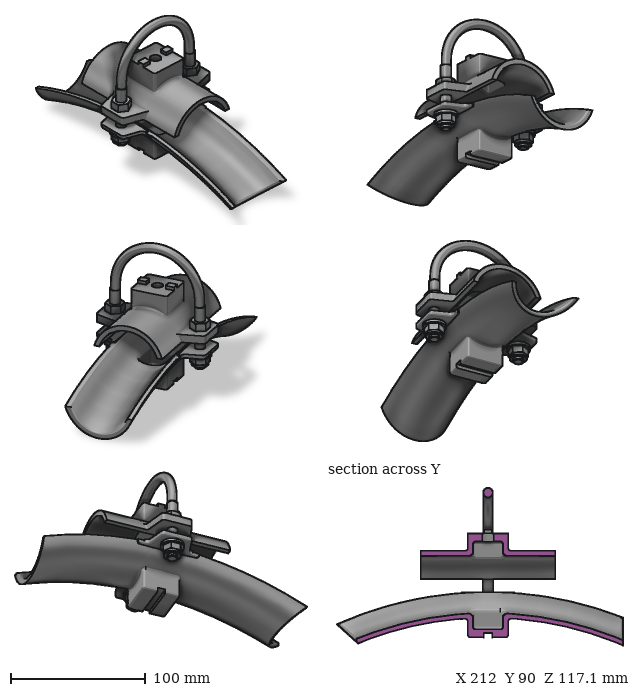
import cadquery as cq
import math


upper_wall = 4.0
upper_length = 99.9
upper_bore_radius = 25.0
upper_outer_radius = upper_bore_radius + upper_wall
upper_shell_top_z = 21.2
upper_axis_z = upper_shell_top_z - upper_outer_radius
upper_ear_thickness = 6.4
ear_joint_fillet = 1.7

ear_tip_y = 45.0
ear_tip_half_width = 11.9
ear_root_y = 21.2
ear_root_half_width = 18.7
ear_corner_radius = 3.0

block_width = 30.1
block_corner_radius = 2.1
block_joint_fillet = 2.1
upper_block_top_z = 34.0
block_hole_diameter = 8.5
pocket_width = 22.0
pocket_floor_thickness = 6.2
pocket_fillet = 2.1
pocket_floor_fillet = 2.0
pocket_mouth_fillet = 3.2
tab_width = 5.7
tab_length = 7.0
tab_height = 2.5
lower_block_bottom_z = -43.3
block_bottom_fillet = 2.0
slot_width = 6.2
slot_depth = 3.2

lower_top_z = -9.5
lower_bore_radius = 25.7
lower_wall = 3.8
lower_outer_radius = lower_bore_radius + lower_wall
lower_section_center_z = 0.6
bend_axis_z = -283.1
bend_sweep_angle = 90.0
left_end_x = -100.0
lower_span = 212.0
right_tip_x = left_end_x + lower_span
right_cut_angle = 42.0
rim_fillet = 2.0
lower_ear_root_fillet = 4.2
lower_ear_edge_fillet = 2.0
pad_half_length = 24.8
flat_half_length = 19.5
pad_half_width = 28.5

tolerance = 0.002

leg_y = 35.0
rod_diameter = 7.2
thread_diameter = 8.0
bend_center_z = 29.5
bolt_top_z = 67.7
thread_top_z = 24.2
bolt_bottom_z = -26.0
bolt_end_chamfer = 0.6

nut_across_flats = 13.0
nut_across_corners = nut_across_flats / math.cos(math.radians(30))
nut_height = 6.4
nut_corner_chamfer = 0.6
washer_radius = 8.7
washer_thickness = 2.3
lock_nut_hex_height = 5.5
collar_radius = nut_across_flats / 2
collar_height = 2.3
collar_chamfer = 0.5


def box(x_range, y_range, z_range):
    """Box between the given limits."""
    corner = cq.Vector(x_range[0], y_range[0], z_range[0])
    sizes = [high - low for low, high in (x_range, y_range, z_range)]
    return cq.Workplane(cq.Solid.makeBox(*sizes, corner))


def disc(radius, bottom_z, height, y=0.0):
    """Upright cylinder on the plane X = 0."""
    return cq.Workplane("XY", origin=(0, y, bottom_z)).circle(radius).extrude(height)


def ear(side, bottom_z, thickness):
    """Tapered ear reaching out from the saddle on the given side of Y."""
    outline = [
        (-ear_root_half_width, side * ear_root_y),
        (-ear_tip_half_width, side * ear_tip_y),
        (ear_tip_half_width, side * ear_tip_y),
        (ear_root_half_width, side * ear_root_y),
    ]
    plate = cq.Workplane("XY", origin=(0, 0, bottom_z)).polyline(outline).close().extrude(thickness)
    tip = ">Y" if side > 0 else "<Y"
    return plate.faces(tip).edges("|Z").fillet(ear_corner_radius)


def block(bottom_z, top_z):
    """Square block with rounded upright corners."""
    half = block_width / 2
    body = box((-half, half), (-half, half), (bottom_z, top_z))
    return body.edges("|Z").fillet(block_corner_radius)


def pocket(low_z, high_z, floor_side):
    """Hollow of a block: rounded upright corners and a rounded floor."""
    half = pocket_width / 2
    body = box((-half, half), (-half, half), (low_z, high_z))
    return body.edges("|Z").fillet(pocket_fillet).faces(floor_side).edges().fillet(pocket_floor_fillet)


def joint_edges(body, on_surface, y_min, y_max):
    """Edges near the clamp axis that lie on a shell surface, within a range of |y|."""
    def is_joint(edge):
        points = [edge.positionAt(t) for t in (0.0, 0.3, 0.5, 0.8, 1.0)]
        middle = points[2]
        central = y_min <= abs(middle.y) < y_max and abs(middle.x) < upper_length / 4
        return central and all(on_surface(point) for point in points)

    return body.newObject([edge for edge in body.edges().vals() if is_joint(edge)])


def on_upper_shell(point, radius):
    """True on the straight cylinder of the given radius."""
    return abs(math.hypot(point.y, point.z - upper_axis_z) - radius) < tolerance


def on_lower_shell(point, radius):
    """True on the bent surface of the given section radius."""
    bend_distance = math.hypot(point.x, point.z - bend_axis_z) + bend_axis_z
    return abs(math.hypot(point.y, bend_distance - lower_section_center_z) - radius) < tolerance


def make_upper_saddle():
    """Half-round shell with two ears and a hollow, tabbed block on top."""
    shell = (
        cq.Workplane("YZ", origin=(-upper_length / 2, 0, 0))
        .center(0, upper_axis_z)
        .circle(upper_outer_radius)
        .extrude(upper_length)
    )
    size = upper_length
    shell = shell.intersect(box((-size, size), (-size, size), (0, size)))
    block_root_z = upper_axis_z + upper_bore_radius / 2
    body = shell.union(block(block_root_z, upper_block_top_z))
    for side in (-1, 1):
        body = body.union(ear(side, 0, upper_ear_thickness))

    def on_outside(point):
        return on_upper_shell(point, upper_outer_radius)

    def on_bore(point):
        return on_upper_shell(point, upper_bore_radius)

    body = joint_edges(body, on_outside, 0, ear_root_y).fillet(block_joint_fillet)
    body = joint_edges(body, on_outside, ear_root_y, ear_tip_y).fillet(ear_joint_fillet)

    bore = (
        cq.Workplane("YZ", origin=(-upper_length / 2, 0, 0))
        .center(0, upper_axis_z)
        .circle(upper_bore_radius)
        .extrude(upper_length)
    )
    body = body.cut(bore)
    body = body.cut(pocket(0, upper_block_top_z - pocket_floor_thickness, ">Z"))
    body = joint_edges(body, on_bore, 0, pocket_width).fillet(pocket_mouth_fillet)
    for side in (-1, 1):
        outer_y = side * block_width / 2
        tab_y = sorted((outer_y, outer_y - side * tab_length))
        tab_z = (upper_block_top_z, upper_block_top_z + tab_height)
        body = body.union(box((-tab_width / 2, tab_width / 2), tab_y, tab_z))
    return body.cut(disc(block_hole_diameter / 2, 0, upper_block_top_z))


def bent_bar(radius, top_z):
    """Circular segment below top_z, swept round the bend axis."""
    rise = top_z - lower_section_center_z
    half_width = math.sqrt(radius**2 - rise**2)
    return (
        cq.Workplane("YZ")
        .moveTo(-half_width, top_z)
        .threePointArc((0, lower_section_center_z - radius), (half_width, top_z))
        .close()
        .revolve(bend_sweep_angle, (0, bend_axis_z), (1, bend_axis_z))
        .rotate((0, 0, bend_axis_z), (0, 1, bend_axis_z), -bend_sweep_angle / 2)
    )


def trim_lower_ends(body):
    """Cut the left end upright and the right end on a slant."""
    bend_radius = lower_top_z - bend_axis_z
    tip_z = bend_axis_z + math.sqrt(bend_radius**2 - right_tip_x**2)
    reach = 2 * bend_radius
    slope = math.tan(math.radians(right_cut_angle))
    keep = (
        cq.Workplane("XZ", origin=(0, reach / 2, 0))
        .moveTo(left_end_x, reach)
        .lineTo(left_end_x, -bend_radius / 2)
        .lineTo(right_tip_x - (tip_z + bend_radius / 2) / slope, -bend_radius / 2)
        .lineTo(right_tip_x + (reach - tip_z) / slope, reach)
        .close()
        .extrude(reach)
    )
    return body.intersect(keep)


def make_lower_flange():
    """Flat ears joined by a pad whose ends follow the bend of the saddle."""
    bottom_z = lower_top_z - lower_wall
    flange = box(
        (-pad_half_length, pad_half_length),
        (-pad_half_width, pad_half_width),
        (bottom_z, lower_top_z),
    )
    for side in (-1, 1):
        flange = flange.union(ear(side, bottom_z, lower_wall))
    roots = cq.selectors.BoxSelector(
        (-ear_root_half_width, -pad_half_width - tolerance, bottom_z),
        (ear_root_half_width, pad_half_width + tolerance, lower_top_z),
    )
    flange = flange.edges("|Z").edges(roots).fillet(lower_ear_root_fillet)
    flange = flange.faces("<Z").edges().fillet(lower_ear_edge_fillet)
    bend_cylinder = (
        cq.Workplane("XZ", origin=(0, ear_tip_y, bend_axis_z))
        .circle(lower_top_z - bend_axis_z)
        .extrude(2 * ear_tip_y)
    )
    for side in (-1, 1):
        pad_end_x = sorted((side * flat_half_length, side * 2 * pad_half_length))
        pad_end = box(pad_end_x, (-ear_tip_y, ear_tip_y), (bottom_z, lower_top_z + lower_wall))
        flange = flange.cut(pad_end.cut(bend_cylinder))
    return flange


def make_lower_saddle():
    """Bent shell with rounded inner rim, ears and a hollow, slotted block below."""
    def on_outside(point):
        return on_lower_shell(point, lower_outer_radius)

    def on_bore(point):
        return on_lower_shell(point, lower_bore_radius)

    body = trim_lower_ends(bent_bar(lower_outer_radius, lower_top_z))
    block_root_z = lower_section_center_z - lower_bore_radius / 2
    body = body.union(block(lower_block_bottom_z, block_root_z))
    body = joint_edges(body, on_outside, 0, ear_root_y).fillet(block_joint_fillet)
    body = body.faces("<Z").edges().fillet(block_bottom_fillet)
    slot = box((-slot_width / 2, slot_width / 2), (-block_width, block_width),
               (lower_block_bottom_z, lower_block_bottom_z + slot_depth))
    body = body.cut(slot)
    body = body.cut(bent_bar(lower_bore_radius, lower_top_z + lower_wall))
    inner_rim = [
        edge for edge in body.edges().vals()
        if all(on_bore(edge.positionAt(t)) for t in (0.1, 0.5, 0.9))
    ]
    body = body.newObject(inner_rim).fillet(rim_fillet)
    body = body.cut(pocket(lower_block_bottom_z + pocket_floor_thickness, lower_top_z, "<Z"))
    body = joint_edges(body, on_bore, 0, pocket_width).fillet(pocket_mouth_fillet)
    flange = make_lower_flange().cut(bent_bar(lower_bore_radius + rim_fillet, lower_top_z + lower_wall))
    return body.union(flange)


def make_u_bolt():
    """Bent rod with a thicker threaded length on each leg."""
    bend_radius = bolt_top_z - rod_diameter / 2 - bend_center_z
    path = (
        cq.Workplane("YZ")
        .moveTo(-bend_radius, bend_center_z)
        .threePointArc((0, bend_center_z + bend_radius), (bend_radius, bend_center_z))
    )
    bolt = (
        cq.Workplane("XY", origin=(0, -bend_radius, bend_center_z)).circle(rod_diameter / 2).sweep(path)
    )
    for side in (-1, 1):
        shank = disc(rod_diameter / 2, 0, bend_center_z, side * bend_radius)
        thread = disc(thread_diameter / 2, bolt_bottom_z, thread_top_z - bolt_bottom_z, side * leg_y)
        bolt = bolt.union(shank).union(thread.faces("<Z").edges().chamfer(bolt_end_chamfer))
    return bolt


def hex_prism(y, bottom_z, height):
    """Upright hexagon with two corners along X."""
    return (
        cq.Workplane("XY", origin=(0, y, bottom_z)).polygon(6, nut_across_corners).extrude(height)
    )


def make_fasteners(y):
    """Upper nut, washer and collared lock nut on one leg of the U-bolt."""
    rounding = disc(nut_across_corners / 2, upper_ear_thickness, nut_height, y)
    upper_nut = hex_prism(y, upper_ear_thickness, nut_height).intersect(
        rounding.faces(">Z").edges().chamfer(nut_corner_chamfer)
    )
    washer_bottom_z = lower_top_z - lower_wall - washer_thickness
    hex_bottom_z = washer_bottom_z - lock_nut_hex_height
    collar_bottom_z = hex_bottom_z - collar_height
    washer = disc(washer_radius, washer_bottom_z, washer_thickness, y)
    lock_hex = hex_prism(y, hex_bottom_z, lock_nut_hex_height)
    collar = disc(collar_radius, collar_bottom_z, collar_height, y)
    collar = collar.faces("<Z").edges().chamfer(collar_chamfer)
    return upper_nut.union(washer).union(lock_hex).union(collar)


result = make_upper_saddle().union(make_lower_saddle()).union(make_u_bolt())
for leg_side in (-1, 1):
    result = result.union(make_fasteners(leg_side * leg_y))